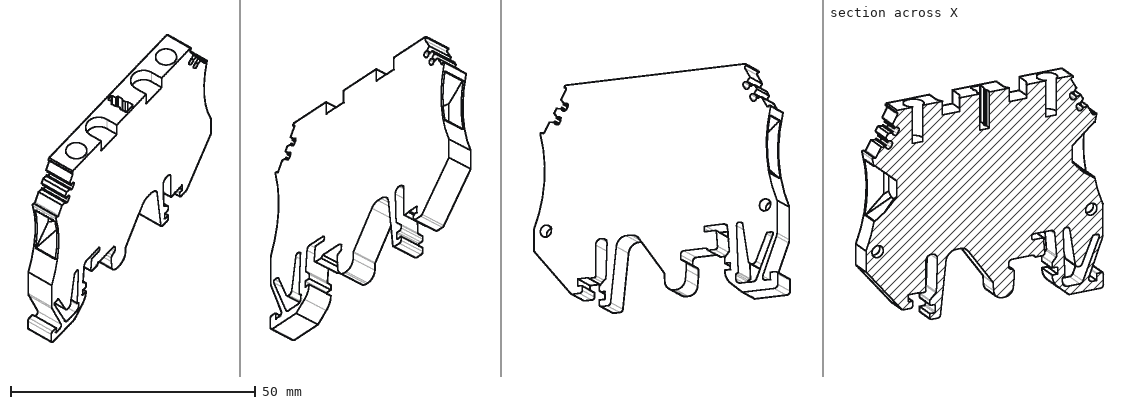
import cadquery as cq
import math


THICKNESS = 6.0
HEIGHT = 48.36
BODY_HALF = 27.5
HOOK_END = -27.66
SIDE_X = -THICKNESS / 2

SIDE_TOP = 18.6
SIDE_BOTTOM = 13.96
WAIST_HALF = 25.06
WAIST_Z = 30.9

LABEL_ANGLE = math.radians(60)
LABEL_TOP = (20.23, 47.4)
LABEL_BOTTOM_Z = 38.85
NOTCH_FIRST = 3.32
NOTCH_PITCH = 3.14
NOTCH_COUNT = 2
NOTCH_MOUTH = 2.0
NOTCH_NECK = 1.2
NOTCH_NECK_DEPTH = 1.0
NOTCH_DEPTH = 2.15
NOTCH_CAVITY = 1.66
NOTCH_CORNER = 0.5

GAP_TOP = 14.94
LEG_BOTTOM = 0.55
SPRING_FLOOR = 1.99
JOIN_Z = SIDE_TOP

TOP_CENTRE_X = 0.38
SCREW_PITCH = 30.96
SCREW_DIAMETER = 4.3
SCREW_DEPTH = 8.0
SLOT_PITCH = SCREW_PITCH / 2
SLOT_RADIUS = 2.67
SLOT_DEPTH = 3.0
JUMPER_DEPTH = 8.0

PIN_Y = 24.77
PIN_Z = 17.94
PIN_DIAMETER = 2.5
PIN_DEPTH = 3.0

ENTRY_HALF_WIDTH = 2.5
ENTRY_BOTTOM = 24.8
ENTRY_TOP = 37.0
ENTRY_MOUTH_Y = 25.45
ENTRY_TAPER_Y = 21.3
ENTRY_END_Y = 20.35
END_LEFT, END_RIGHT = -1.4, 2.13
END_TOP = 32.7
END_BOTTOM = 28.3
END_CORNER_Z = 29.2
END_FLAT_LEFT, END_FLAT_RIGHT = -0.15, 0.95


def toward(start, end, distance):
    """Point at the given distance from start on the way to end."""
    share = distance / math.dist(start, end)
    return (start[0] + (end[0] - start[0]) * share, start[1] + (end[1] - start[1]) * share)


def rounded_plate(corners):
    """Full-thickness plate from (y, z, radius) corners; radius 0 keeps a corner sharp."""
    path = cq.Workplane("YZ", origin=(SIDE_X, 0, 0))
    for index, (y, z, radius) in enumerate(corners):
        corner = (y, z)
        before = corners[index - 1][:2]
        after = corners[(index + 1) % len(corners)][:2]
        if radius == 0:
            stops = [corner]
        else:
            to_before = math.atan2(before[1] - z, before[0] - y)
            to_after = math.atan2(after[1] - z, after[0] - y)
            half_angle = abs(math.remainder(to_after - to_before, math.tau)) / 2
            tangent = radius / math.tan(half_angle)
            first = toward(corner, before, tangent)
            last = toward(corner, after, tangent)
            chord_middle = ((first[0] + last[0]) / 2, (first[1] + last[1]) / 2)
            middle = toward(corner, chord_middle, radius / math.sin(half_angle) - radius)
            stops = [first, middle, last]
        path = path.moveTo(*stops[0]) if index == 0 else path.lineTo(*stops[0])
        if radius > 0:
            path = path.threePointArc(stops[1], stops[2])
    return path.close().extrude(THICKNESS)


def upper_half():
    """Half of the upper body at +Y, with the snap lips at both ends of the label face."""
    drop = LABEL_TOP[1] - LABEL_BOTTOM_Z
    label_bottom = (LABEL_TOP[0] + drop / math.tan(LABEL_ANGLE), LABEL_BOTTOM_Z)
    return (
        cq.Workplane("YZ", origin=(SIDE_X, 0, 0))
        .moveTo(0, JOIN_Z)
        .lineTo(0, HEIGHT)
        .lineTo(20.3, HEIGHT)
        .lineTo(20.62, 48.1)
        .lineTo(20.62, 47.9)
        .threePointArc((20.22, 47.7), LABEL_TOP)
        .lineTo(*label_bottom)
        .threePointArc((25.38, 38.7), (25.6, 38.9))
        .lineTo(25.85, 38.9)
        .threePointArc((26.03, 38.8), (26.05, 38.6))
        .threePointArc((WAIST_HALF, WAIST_Z), (BODY_HALF, SIDE_TOP))
        .close()
        .extrude(THICKNESS)
    )


def label_notch(distance):
    """Undercut notch square to the +Y label face, at a distance down the slope."""
    mouth_y = LABEL_TOP[0] + distance * math.cos(LABEL_ANGLE)
    mouth_z = LABEL_TOP[1] - distance * math.sin(LABEL_ANGLE)
    plane = cq.Plane(
        origin=(SIDE_X, mouth_y, mouth_z),
        xDir=(0, math.cos(LABEL_ANGLE), -math.sin(LABEL_ANGLE)),
        normal=(-1, 0, 0),
    )
    mouth = (
        cq.Workplane(plane)
        .moveTo(-NOTCH_MOUTH / 2, 0)
        .lineTo(-NOTCH_NECK / 2, NOTCH_NECK_DEPTH)
        .lineTo(NOTCH_NECK / 2, NOTCH_NECK_DEPTH)
        .lineTo(NOTCH_MOUTH / 2, 0)
        .close()
        .extrude(-THICKNESS)
    )
    cavity_depth = NOTCH_DEPTH - NOTCH_NECK_DEPTH
    cavity = (
        cq.Workplane(plane)
        .center(0, NOTCH_NECK_DEPTH + cavity_depth / 2)
        .rect(NOTCH_CAVITY, cavity_depth)
        .extrude(-THICKNESS)
        .edges("|X")
        .fillet(NOTCH_CORNER)
    )
    return mouth.union(cavity)


def upper_body():
    half = upper_half()
    for index in range(NOTCH_COUNT):
        half = half.cut(label_notch(NOTCH_FIRST + index * NOTCH_PITCH))
    return half.union(half.mirror("XZ"))


def foot():
    """Lower body with the rail feet, the latch leg and the spring arm, from +Y to -Y."""
    fixed_foot = [
        (BODY_HALF, JOIN_Z, 0),
        (BODY_HALF, SIDE_BOTTOM, 0),
        (19.05, 3.9, 0.6),
        (16.56, 3.9, 0.6),
        (16.56, 5.5, 0.2),
        (17.55, 5.5, 0),
        (17.55, 6.99, 0),
        (15.3, 6.99, 0),
        (15.1, 6.84, 0),
        (13.5, 6.84, 0.4),
    ]
    latch_leg = [
        (13.5, GAP_TOP, 1.2),
        (10.9, GAP_TOP, 1.2),
        (11.2, 6.4, 0.3),
        (12.73, 4.9, 0.2),
        (12.73, 3.68, 0.5),
        (11.41, 3.68, 0.2),
        (11.41, 2.0, 0.2),
        (12.73, 2.0, 0),
        (12.73, LEG_BOTTOM, 0.5),
        (10.2, LEG_BOTTOM, 0.7),
    ]
    centre_foot = [
        (8.62, GAP_TOP, 2.3),
        (4.42, GAP_TOP, 2.3),
        (-2.0, 6.0, 0.3),
        (-2.15, 2.24, 2.15),
        (-6.6, 2.24, 2.1),
        (-6.96, 6.3, 0),
        (-6.96, 7.9, 0.6),
        (-5.67, 8.5, 0.4),
        (-5.67, 10.28, 0.8),
    ]
    rail_lip = [
        (-11.4, 10.28, 0),
        (-11.9, 9.75, 0),
        (-14.1, 9.75, 0.6),
        (-13.74, 13.77, 0.15),
        (-10.98, 13.77, 0.4),
        (-10.98, GAP_TOP, 0.4),
        (-16.2, GAP_TOP, 0.9),
    ]
    spring_arm = [
        (-16.7, 9.0, 0.4),
        (-15.64, 7.8, 0.1),
        (-15.64, 6.6, 0),
        (-16.9, 6.6, 0.1),
        (-16.9, 5.15, 0),
        (-15.64, 5.15, 0),
        (-15.68, 3.3, 3.9),
        (-19.63, 0, 0),
        (HOOK_END, 0, 0.8),
        (HOOK_END, 3.53, 0.5),
        (-26.0, 3.53, 0.1),
        (-26.0, SPRING_FLOOR, 0),
        (-23.9, SPRING_FLOOR, 0.7),
        (-BODY_HALF, 11.35, 1.9),
        (-BODY_HALF, JOIN_Z, 0),
    ]
    return rounded_plate(fixed_foot + latch_leg + centre_foot + rail_lip + spring_arm)


def spring_window():
    """V-shaped opening that frees the spring arm from the body."""
    return rounded_plate([
        (-18.3, GAP_TOP, 0.65),
        (-19.65, GAP_TOP, 0.65),
        (-21.1, 5.75, 0.85),
        (-22.5, 5.75, 0.85),
        (-25.2, 12.05, 0.4),
        (-26.8, 12.05, 0.4),
        (-22.6, SPRING_FLOOR, 0.8),
        (-18.16, SPRING_FLOOR, 1.1),
        (-18.16, 4.0, 0.3),
        (-18.72, 4.3, 0.1),
    ])


def screw_holes():
    return (
        cq.Workplane("XY", origin=(TOP_CENTRE_X, 0, HEIGHT))
        .pushPoints([(0, -SCREW_PITCH / 2), (0, SCREW_PITCH / 2)])
        .circle(SCREW_DIAMETER / 2)
        .extrude(-SCREW_DEPTH)
    )


def top_slot(y):
    """Round-ended slot in the top face, open to the +X side."""
    open_length = THICKNESS / 2 - TOP_CENTRE_X
    top = cq.Workplane("XY", origin=(TOP_CENTRE_X, y, HEIGHT))
    round_end = top.circle(SLOT_RADIUS).extrude(-SLOT_DEPTH)
    straight = top.center(open_length / 2, 0).rect(open_length, 2 * SLOT_RADIUS).extrude(-SLOT_DEPTH)
    return round_end.union(straight)


def jumper_opening():
    """Stepped opening in the middle of the top face, symmetric about Y = 0."""
    end_x = 2.52
    step_x = -1.44
    tip_half = 0.64
    wide_half = 1.2
    waist_half = 0.95
    chamfer = 0.15
    half_outline = [
        (-end_x, tip_half - chamfer),
        (-end_x + chamfer, tip_half),
        (step_x, tip_half),
        (step_x, wide_half - chamfer),
        (step_x + chamfer, wide_half),
        (-0.25, wide_half),
        (0.1, waist_half),
        (0.75, waist_half),
        (1.1, wide_half),
        (end_x - chamfer, wide_half),
        (end_x, wide_half - chamfer),
    ]
    other_half = [(x, -y) for x, y in reversed(half_outline)]
    return (
        cq.Workplane("XY", origin=(0, 0, HEIGHT))
        .polyline(half_outline + other_half)
        .close()
        .extrude(-JUMPER_DEPTH)
    )


def pin_holes():
    return (
        cq.Workplane("YZ", origin=(SIDE_X, 0, 0))
        .pushPoints([(-PIN_Y, PIN_Z), (PIN_Y, PIN_Z)])
        .circle(PIN_DIAMETER / 2)
        .extrude(PIN_DEPTH)
    )


def beyond(first, second, third):
    """Thick slab on the outer side of the plane through three points.

    Seen from outside the points run counter-clockwise.
    """
    reach = 100.0
    a, b, c = cq.Vector(*first), cq.Vector(*second), cq.Vector(*third)
    plane = cq.Plane(origin=first, xDir=(b - a).toTuple(), normal=(b - a).cross(c - a).toTuple())
    return cq.Workplane(plane).rect(reach, reach).extrude(reach)


def wire_entry():
    """Funnel in the -Y flank, narrowing to a flat end with slanted lower corners."""
    outside = -BODY_HALF
    mouth = -ENTRY_MOUTH_Y
    end = -ENTRY_END_Y
    taper = -ENTRY_TAPER_Y
    half = ENTRY_HALF_WIDTH
    funnel = cq.Workplane("XY").box(
        2 * half, end - outside, ENTRY_TOP - ENTRY_BOTTOM, centered=(True, False, False)
    ).translate((0, outside, ENTRY_BOTTOM))

    lower_left, lower_right = (-half, mouth, ENTRY_BOTTOM), (half, mouth, ENTRY_BOTTOM)
    upper_left, upper_right = (-half, mouth, ENTRY_TOP), (half, mouth, ENTRY_TOP)
    flat_left, flat_right = (END_FLAT_LEFT, end, END_BOTTOM), (END_FLAT_RIGHT, end, END_BOTTOM)
    corner_left, corner_right = (END_LEFT, end, END_CORNER_Z), (END_RIGHT, end, END_CORNER_Z)
    top_left, top_right = (END_LEFT, end, END_TOP), (END_RIGHT, end, END_TOP)

    walls = [
        (lower_left, flat_left, flat_right),
        (upper_left, upper_right, top_right),
        (lower_left, corner_left, flat_left),
        (lower_right, flat_right, corner_right),
        ((-half, taper, END_TOP), top_left, corner_left),
        ((half, taper, END_TOP), corner_right, top_right),
    ]
    for wall in walls:
        funnel = funnel.cut(beyond(*wall))
    return funnel


def terminal_block():
    part = upper_body().union(foot()).cut(spring_window())
    part = part.cut(screw_holes()).cut(jumper_opening()).cut(pin_holes())
    for side in (-1, 1):
        part = part.cut(top_slot(side * SLOT_PITCH / 2))
    entry = wire_entry()
    return part.cut(entry).cut(entry.mirror("XZ")).clean()


result = terminal_block()